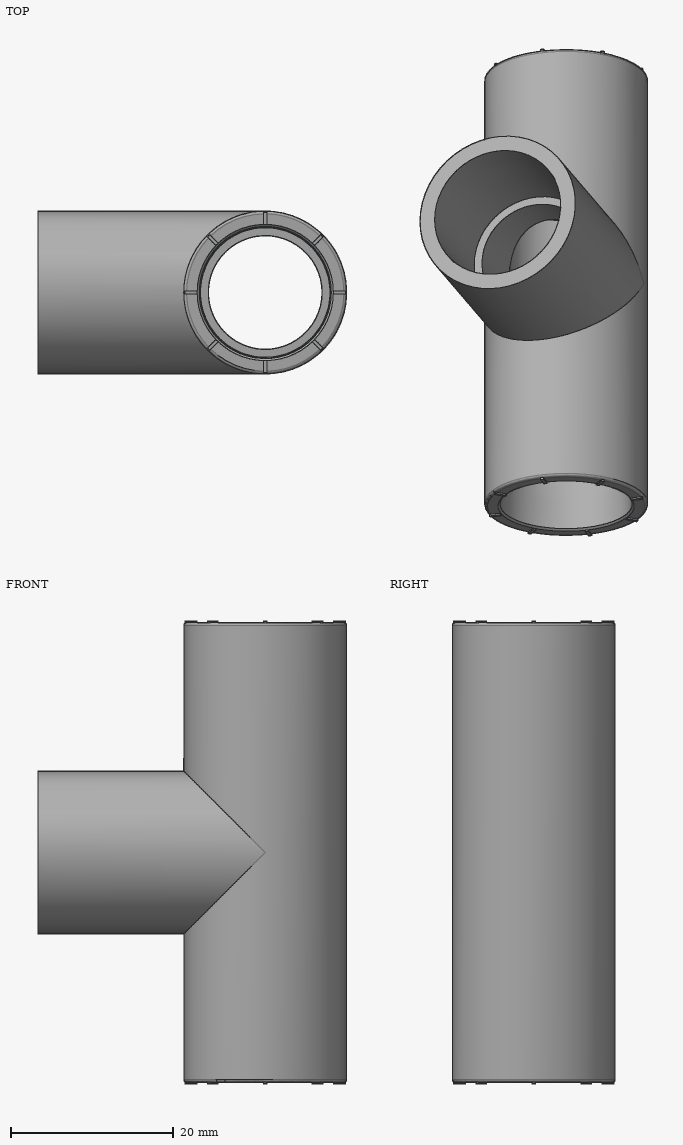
import cadquery as cq

outer_diameter = 20.1
bore_diameter = 14.0
overall_height = 57.1
overall_width = 38.1
body_half_length = 12.3
socket_mouth_diameter = 16.3
socket_seat_diameter = 16.0

rim_outer_fillet = 0.35
rim_inner_chamfer = 0.25
rib_count = 8
rib_width = 0.4
rib_height = 0.2

outer_radius = outer_diameter / 2
bore_radius = bore_diameter / 2
mouth_radius = socket_mouth_diameter / 2
seat_radius = socket_seat_diameter / 2
run_half_length = overall_height / 2 - rib_height
branch_length = overall_width - outer_radius
rib_inner_radius = mouth_radius + rim_inner_chamfer
rib_outer_radius = outer_radius - rim_outer_fillet / 2
rib_root_depth = rim_outer_fillet

BRANCH_PLANE = cq.Plane(origin=(0, 0, 0), xDir=(0, 1, 0), normal=(-1, 0, 0))


def make_run():
    """Outer cylinder of the straight run, rounded at both rims."""
    run = cq.Workplane("XY").cylinder(2 * run_half_length, outer_radius)
    return run.faces("|Z").edges().fillet(rim_outer_fillet)


def make_branch():
    """Outer cylinder of the side branch, with a plain square end."""
    return cq.Workplane(BRANCH_PLANE).circle(outer_radius).extrude(branch_length)


def make_socket(plane, end):
    """Slightly tapered pipe socket that widens from its seat to its mouth."""
    return (
        cq.Workplane(plane)
        .workplane(offset=body_half_length)
        .circle(seat_radius)
        .workplane(offset=end - body_half_length)
        .circle(mouth_radius)
        .loft()
    )


def make_mouth_bevel():
    """Cone that breaks the inner edge of the run mouth."""
    return (
        cq.Workplane("XY")
        .workplane(offset=run_half_length - rim_inner_chamfer)
        .circle(mouth_radius)
        .workplane(offset=rim_inner_chamfer)
        .circle(mouth_radius + rim_inner_chamfer)
        .loft()
    )


def make_rib(angle):
    """One raised radial rib on the upper rim, at the given angle about Z."""
    rib_length = rib_outer_radius - rib_inner_radius
    return (
        cq.Workplane("XY")
        .workplane(offset=run_half_length - rib_root_depth)
        .center((rib_inner_radius + rib_outer_radius) / 2, 0)
        .rect(rib_length, rib_width)
        .extrude(rib_root_depth + rib_height)
        .rotate((0, 0, 0), (0, 0, 1), angle)
    )


tee = make_run().union(make_branch())

tee = tee.cut(cq.Workplane("XY").cylinder(2 * run_half_length, bore_radius))
tee = tee.cut(cq.Workplane(BRANCH_PLANE).circle(bore_radius).extrude(branch_length))

upper_socket = make_socket(cq.Plane.XY(), run_half_length).union(make_mouth_bevel())
tee = tee.cut(upper_socket).cut(upper_socket.mirror("XY"))
tee = tee.cut(make_socket(BRANCH_PLANE, branch_length))

for rib_index in range(rib_count):
    rib = make_rib(rib_index * 360 / rib_count)
    tee = tee.union(rib).union(rib.mirror("XY"))

result = tee